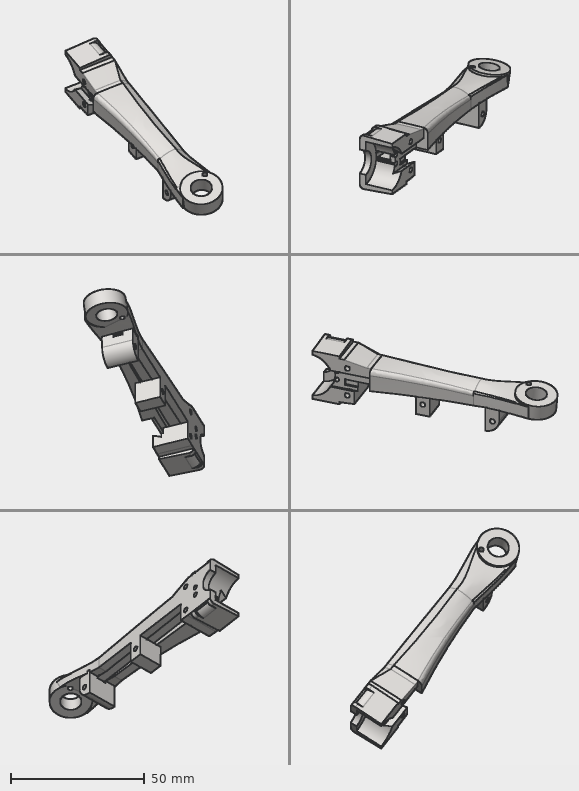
import cadquery as cq
import math


TOTAL_LENGTH = 95.2

CUT_REACH = 38.1

HEAD_DEPTH = 14.1
HEAD_LENGTH = 10.9
HEAD_HALF_BACK = 11.09
HEAD_HALF_FRONT = 10.4
HEAD_ROUND = 1.9
BACK_WALL = 2.8
BORE_X = -0.9
BORE_RADIUS = 8.8
NOTCH_RADIUS = 4.95
RELIEF_START = 1.7
RELIEF_END = 8.9
RELIEF_ROUND = 4.1

NECK_HALF = 9.3
NECK_TAPER_START = 12.9
NECK_TAPER_END = 21.9
JAW_END = 16.9
JAW_END_Z = -9.0
DOVETAIL_DEPTH = 3.2
DOVETAIL_HALF_FRONT = 3.5
DOVETAIL_HALF_FLOOR = 5.0
RECESS_START = 11.8
RECESS_DEPTH = 0.9
SLOT_FLOOR_Y = DOVETAIL_DEPTH - HEAD_DEPTH

ARM_START = 23.8
MID_SECTION_X = 43.8
ARM_JOINT = 63.9
JOINT_FRONT = -11.3
JOINT_CROWN_FRONT = (-10.5, 4.8)
JOINT_CROWN_BACK = (-3.5, 6.7)
JOINT_BACK_TOP = 3.8
JOINT_BULGE = 0.6
FLARE_START_X = 71.8
FLARE_END_X = 79.0
ARM_BOTTOM = -1.0
ARM_TOP = 7.8
ARM_TOP_ROUND = 2.95
ARM_TOP_DROP = 1.9
SHOULDER_BULGE = 0.2

SLIGHT = 0.05

CHANNEL_MOUTH_X = 6.7
CHANNEL_MOUTH_FRONT = -8.85
CHANNEL_MOUTH_ROOF = 2.1
CHANNEL_EXIT_X = 76.1
CHANNEL_EXIT_FRONT = -7.4
CHANNEL_EXIT_BACK = -3.7
CHANNEL_EXIT_ROOF = -0.3

EYE_DIAMETER = 16.0
EYE_RADIUS = EYE_DIAMETER / 2
EYE_HOLE = 8.0
EYE_HEIGHT = 6.3
EYE_Y = -6.0
EYE_TOP_Z = 6.3
EYE_TILT_X = 5.0
EYE_TILT_Y = 6.5
EYE_X = TOTAL_LENGTH - EYE_RADIUS * math.cos(math.radians(EYE_TILT_Y))
EYE_STEP = 0.9
CLEARANCE_RADIUS = 10.5
WIRE_HOLE = 1.8
WIRE_HOLE_X = 82.3
WIRE_HOLE_Y = -1.6

END_TAB_BACK = 0.4
MID_TAB_FRONT = SLOT_FLOOR_Y + RECESS_DEPTH
END_TAB_FRONT = -12.0
TAB_BOTTOM = -10.5
TAB_ROOT = 0.95
MID_TAB_START = 40.2
MID_TAB_WIDTH = 5.5
END_TAB_START = 68.9
END_TAB_WIDTH = 5.8
PIN_HOLE = 2.0
PIN_Z = 5.8
CLAMP_PIN_X = 14.1
END_PIN_X = 71.8
WIRE_PAIR_X = 8.6
WIRE_PAIR_Z = 1.8


def block(x0, x1, y0, y1, z0, z1):
    """Axis-aligned box between two corners."""
    return cq.Workplane("XY").box(x1 - x0, y1 - y0, z1 - z0, centered=False).translate((x0, y0, z0))


def hole_along_y(x, z, diameter, y0=-CUT_REACH, y1=CUT_REACH):
    """Cylinder parallel to Y between two Y positions."""
    start = cq.Vector(x, y0, z)
    return cq.Workplane(cq.Solid.makeCylinder(diameter / 2, y1 - y0, start, cq.Vector(0, 1, 0)))


def head_profile(corner):
    """Drafted head cross-section with rounded back corners, on the YZ plane."""
    outline = cq.Workplane("YZ").polyline([
        (0, HEAD_HALF_BACK),
        (-HEAD_DEPTH, HEAD_HALF_FRONT),
        (-HEAD_DEPTH, -HEAD_HALF_FRONT),
        (0, -HEAD_HALF_BACK),
    ]).close()
    return outline.extrude(HEAD_LENGTH).edges("|X and >Y").fillet(corner)


def make_head():
    relieved = head_profile(RELIEF_ROUND)
    middle = block(RELIEF_START, RELIEF_END, -HEAD_DEPTH, 0, -HEAD_HALF_BACK, HEAD_HALF_BACK)
    return head_profile(HEAD_ROUND).cut(middle).union(relieved.intersect(middle))


def section(x, front, back, bottom, front_top, crown_front, crown_back, back_top, bulge=SLIGHT):
    """Arm cross-section: flat walls and bottom, rounded front shoulder and arched upper face.

    front and back are the Y of the side walls, bottom the lower Z of each of them,
    front_top and back_top their upper Z. The crown points are (y, z) pairs that bound
    the upper face, which rises by bulge above their chord.
    """
    bottom_front, bottom_back = bottom
    crown_mid = (
        (crown_front[0] + crown_back[0]) / 2,
        (crown_front[1] + crown_back[1]) / 2 + bulge,
    )
    rise = crown_front[1] - front_top
    run = crown_front[0] - front
    shoulder_mid = (
        front + run / 2 - SHOULDER_BULGE * rise,
        front_top + rise / 2 + SHOULDER_BULGE * run,
    )
    outline = (
        cq.Workplane("YZ", origin=(x, 0, 0))
        .moveTo(front, bottom_front)
        .lineTo(front, front_top)
        .threePointArc(shoulder_mid, crown_front)
        .threePointArc(crown_mid, crown_back)
        .lineTo(back, back_top)
        .lineTo(back, bottom_back)
        .close()
    )
    return outline.val()


def loft(sections, ruled=False):
    return cq.Workplane(cq.Solid.makeLoft(sections, ruled))


def make_neck():
    level = block(0, NECK_TAPER_START, -HEAD_DEPTH, 0, -NECK_HALF, NECK_HALF)
    jaw = (
        cq.Workplane("XZ")
        .polyline([
            (NECK_TAPER_START, ARM_BOTTOM),
            (JAW_END, ARM_BOTTOM),
            (JAW_END, JAW_END_Z),
            (NECK_TAPER_START, -NECK_HALF),
        ])
        .close()
        .extrude(HEAD_DEPTH)
    )
    flat = (ARM_BOTTOM, ARM_BOTTOM)

    def neck_section(x, top, back_round, back_drop):
        crown_front = (SLIGHT - HEAD_DEPTH, top)
        crown_back = (-back_round, top)
        return section(x, -HEAD_DEPTH, 0, flat, top - SLIGHT, crown_front, crown_back, top - back_drop)

    taper = loft([
        neck_section(NECK_TAPER_START, NECK_HALF, SLIGHT, SLIGHT),
        neck_section(NECK_TAPER_END, ARM_TOP, ARM_TOP_ROUND, ARM_TOP_DROP),
        neck_section(ARM_START, ARM_TOP, ARM_TOP_ROUND, ARM_TOP_DROP),
    ], ruled=True)
    return level.union(jaw).union(taper)


def make_arm():
    flat = (ARM_BOTTOM, ARM_BOTTOM)
    beam = loft([
        section(x=ARM_START, front=-15.8, back=0, bottom=flat, front_top=5.8,
                crown_front=(-13.9, ARM_TOP), crown_back=(-ARM_TOP_ROUND, ARM_TOP),
                back_top=ARM_TOP - ARM_TOP_DROP),
        section(x=MID_SECTION_X, front=-12.75, back=0, bottom=flat, front_top=4.6,
                crown_front=(-11.3, 6.4), crown_back=(-3.8, 7.2), back_top=4.95, bulge=0.3),
        section(x=ARM_JOINT, front=JOINT_FRONT, back=0, bottom=flat, front_top=3.2,
                crown_front=JOINT_CROWN_FRONT, crown_back=JOINT_CROWN_BACK,
                back_top=JOINT_BACK_TOP, bulge=JOINT_BULGE),
    ])
    flare = loft([
        section(x=ARM_JOINT, front=JOINT_FRONT, back=0, bottom=flat, front_top=4.2,
                crown_front=JOINT_CROWN_FRONT, crown_back=JOINT_CROWN_BACK,
                back_top=JOINT_BACK_TOP, bulge=JOINT_BULGE),
        section(x=FLARE_START_X, front=-12.8, back=0.6, bottom=(0.1, 0.3), front_top=5.0,
                crown_front=(-12.0, 5.3), crown_back=(-2.7, 6.7), back_top=4.4, bulge=0.3),
        section(x=FLARE_END_X, front=-13.8, back=1.6, bottom=(0.3, 1.1), front_top=5.2,
                crown_front=(-13.1, 5.5), crown_back=(-0.4, 6.6), back_top=4.95),
        section(x=EYE_X, front=EYE_Y - EYE_RADIUS, back=EYE_Y + EYE_RADIUS, bottom=(-0.4, 0.8),
                front_top=4.7, crown_front=(-13.3, 4.8), crown_back=(1.5, 6.0), back_top=5.1),
    ])
    return beam.union(flare)


def tilt_to_eye(shape):
    """Move a shape built about the origin onto the tilted top face of the eye."""
    return (
        shape.rotate((0, 0, 0), (1, 0, 0), EYE_TILT_X)
        .rotate((0, 0, 0), (0, 1, 0), EYE_TILT_Y)
        .translate((EYE_X, EYE_Y, EYE_TOP_Z))
    )


def make_tabs():
    mid_end = MID_TAB_START + MID_TAB_WIDTH
    tip_end = END_TAB_START + END_TAB_WIDTH
    middle = block(MID_TAB_START, mid_end, MID_TAB_FRONT, 0, TAB_BOTTOM, TAB_ROOT)
    end = block(END_TAB_START, tip_end, END_TAB_FRONT, END_TAB_BACK, TAB_BOTTOM, TAB_ROOT)
    rounded = end.edges("|Y and >X and <Z").fillet(END_TAB_WIDTH - SLIGHT)
    return middle.union(rounded)


def dovetail():
    half_front = DOVETAIL_HALF_FRONT
    half_floor = DOVETAIL_HALF_FLOOR
    return (
        cq.Workplane("YZ")
        .polyline([
            (-HEAD_DEPTH, half_front),
            (SLOT_FLOOR_Y, half_floor),
            (SLOT_FLOOR_Y, -half_floor),
            (-HEAD_DEPTH, -half_front),
        ])
        .close()
        .extrude(ARM_START)
    )


def wire_channel():
    mouth = cq.Workplane("YZ", origin=(CHANNEL_MOUTH_X, 0, 0)).polyline([
        (CHANNEL_MOUTH_FRONT, ARM_BOTTOM),
        (CHANNEL_MOUTH_FRONT, CHANNEL_MOUTH_ROOF),
        (-BACK_WALL, CHANNEL_MOUTH_ROOF),
        (-BACK_WALL, ARM_BOTTOM),
    ]).close()
    channel_exit = cq.Workplane("YZ", origin=(CHANNEL_EXIT_X, 0, 0)).polyline([
        (CHANNEL_EXIT_FRONT, ARM_BOTTOM),
        (CHANNEL_EXIT_FRONT, CHANNEL_EXIT_ROOF),
        (CHANNEL_EXIT_BACK, CHANNEL_EXIT_ROOF),
        (CHANNEL_EXIT_BACK, ARM_BOTTOM),
    ]).close()
    return loft([mouth.val(), channel_exit.val()], ruled=True)


clamp = make_head().union(make_neck())
clamp = clamp.cut(dovetail())
clamp = clamp.cut(block(RECESS_START, JAW_END, SLOT_FLOOR_Y, SLOT_FLOOR_Y + RECESS_DEPTH,
                        -DOVETAIL_HALF_FRONT, ARM_BOTTOM))
clamp = clamp.cut(hole_along_y(BORE_X, 0, 2 * BORE_RADIUS, y1=-BACK_WALL))
clamp = clamp.cut(hole_along_y(BORE_X, 0, 2 * NOTCH_RADIUS))

eye = tilt_to_eye(cq.Workplane("XY").circle(EYE_RADIUS).extrude(-EYE_HEIGHT))
disc_clearance = tilt_to_eye(cq.Workplane("XY").workplane(offset=-EYE_STEP).circle(CLEARANCE_RADIUS)
                             .extrude(EYE_HEIGHT))
result = clamp.union(make_arm().cut(disc_clearance)).union(eye).union(make_tabs())

result = result.cut(wire_channel())
result = result.cut(tilt_to_eye(cq.Workplane("XY").circle(EYE_HOLE / 2).extrude(CUT_REACH, both=True)))
wire_offset = (WIRE_HOLE_X - EYE_X, WIRE_HOLE_Y - EYE_Y)
result = result.cut(tilt_to_eye(cq.Workplane("XY").center(*wire_offset).circle(WIRE_HOLE / 2)
                                .extrude(CUT_REACH, both=True)))
for pin_x, pin_z in [
    (CLAMP_PIN_X, PIN_Z),
    (CLAMP_PIN_X, -PIN_Z),
    (MID_TAB_START + MID_TAB_WIDTH / 2, -PIN_Z),
    (END_PIN_X, -PIN_Z),
]:
    result = result.cut(hole_along_y(pin_x, pin_z, PIN_HOLE))
for side in (-1, 1):
    result = result.cut(hole_along_y(WIRE_PAIR_X, side * WIRE_PAIR_Z, WIRE_HOLE))